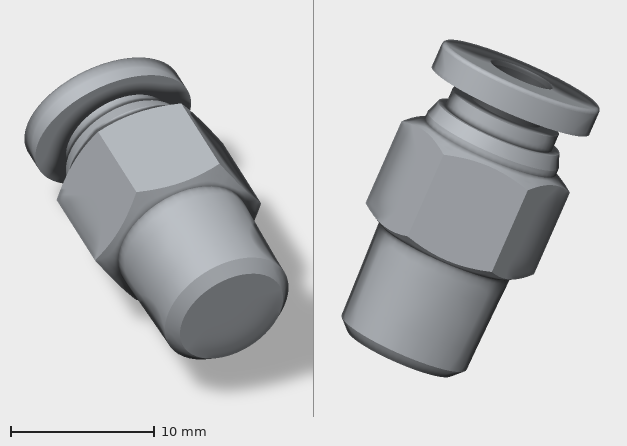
import cadquery as cq
import math

LENGTH = 21.6

BUTTON_WIDTH = 12.0
BUTTON_HEIGHT = 9.83
BUTTON_THICKNESS = 2.03
BUTTON_ROUNDING = 0.28
STEM_DIAMETER = 5.2
BORE_DIAMETER = 4.2
BORE_CHAMFER = 0.3
SLEEVE_END_X = 10.8

COLLAR_START_X = 2.87
COLLAR_DIAMETER = 8.1
SHOULDER_START_X = 4.1
SHOULDER_FACE_DIAMETER = 9.25
SHOULDER_CONE_END_X = 5.08
SHOULDER_DIAMETER = 10.0
HEX_START_X = 5.6
HEX_END_X = 13.56
HEX_ACROSS_FLATS = 11.1
HEX_CHAMFER_ANGLE = 30.0
THREAD_TAPER = 1 / 16
THREAD_CHAMFER = 0.8

hex_across_corners = HEX_ACROSS_FLATS / math.cos(math.pi / 6)


def revolve_about_x(profile):
    """Revolve an XY profile (axial position, radius) about the X axis."""
    return cq.Workplane("XY").polyline(profile).close().revolve(360, (0, 0, 0), (1, 0, 0))


def cylinder(start_x, end_x, diameter):
    return cq.Workplane("YZ").workplane(offset=start_x).circle(diameter / 2).extrude(end_x - start_x)


def make_release_sleeve():
    button = (
        cq.Workplane("YZ")
        .ellipse(BUTTON_WIDTH / 2, BUTTON_HEIGHT / 2)
        .extrude(BUTTON_THICKNESS)
        .faces("<X")
        .edges()
        .fillet(BUTTON_ROUNDING)
    )
    stem = cylinder(BUTTON_THICKNESS, SLEEVE_END_X, STEM_DIAMETER)
    bore = cylinder(0, SLEEVE_END_X, BORE_DIAMETER)
    bore_radius = BORE_DIAMETER / 2
    lead_in = revolve_about_x([
        (0, 0),
        (0, bore_radius + BORE_CHAMFER),
        (BORE_CHAMFER, bore_radius),
        (BORE_CHAMFER, 0),
    ])
    return button.union(stem).cut(bore).cut(lead_in)


def make_hexagon():
    """Hexagon with corners on +Y and -Y, chamfered by a cone at both ends."""
    prism = (
        cq.Workplane("YZ")
        .workplane(offset=HEX_START_X)
        .polygon(6, hex_across_corners)
        .extrude(HEX_END_X - HEX_START_X)
    )
    base_radius = SHOULDER_DIAMETER / 2
    corner_radius = hex_across_corners / 2
    chamfer_length = (corner_radius - base_radius) * math.tan(math.radians(HEX_CHAMFER_ANGLE))
    envelope = revolve_about_x([
        (HEX_START_X, 0),
        (HEX_START_X, base_radius),
        (HEX_START_X + chamfer_length, corner_radius),
        (HEX_END_X - chamfer_length, corner_radius),
        (HEX_END_X, base_radius),
        (HEX_END_X, 0),
    ])
    return prism.intersect(envelope)


def make_housing():
    collar = cylinder(COLLAR_START_X, SHOULDER_START_X, COLLAR_DIAMETER)
    shoulder = revolve_about_x([
        (SHOULDER_START_X, 0),
        (SHOULDER_START_X, SHOULDER_FACE_DIAMETER / 2),
        (SHOULDER_CONE_END_X, SHOULDER_DIAMETER / 2),
        (HEX_START_X, SHOULDER_DIAMETER / 2),
        (HEX_START_X, 0),
    ])

    thread_chamfer_x = LENGTH - THREAD_CHAMFER
    thread_root_radius = SHOULDER_DIAMETER / 2
    thread_tip_radius = thread_root_radius - (thread_chamfer_x - HEX_END_X) * THREAD_TAPER / 2
    thread = revolve_about_x([
        (HEX_END_X, 0),
        (HEX_END_X, thread_root_radius),
        (thread_chamfer_x, thread_tip_radius),
        (LENGTH, thread_tip_radius - THREAD_CHAMFER),
        (LENGTH, 0),
    ])

    socket = cylinder(COLLAR_START_X, SLEEVE_END_X, STEM_DIAMETER)
    return collar.union(shoulder).union(make_hexagon()).union(thread).cut(socket)


release_sleeve = make_release_sleeve()
housing = make_housing()

result = cq.Compound.makeCompound([release_sleeve.val(), housing.val()])